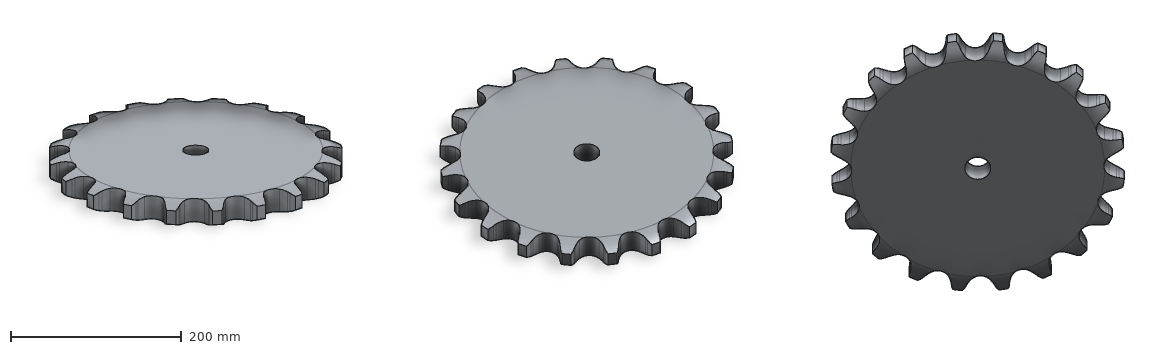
import cadquery as cq
import math

TOOTH_COUNT = 20
PITCH_DIAMETER = 324.5
ROLLER_DIAMETER = 29.0
OUTER_DIAMETER = 345.2
THICKNESS = 29.5
BORE_DIAMETER = 30.0
FLAT_FACE_DIAMETER = 297.3
SEAT_CLEARANCE = 0.07
CUTTER_OVERHANG = 3.5

WORKING_CENTER_RATIO = 0.8
TIP_CENTER_RATIO = 1.4
seat_end_angle = math.radians(35 + 60 / TOOTH_COUNT)
working_sweep = math.radians(18 - 56 / TOOTH_COUNT)
flank_line_angle = math.radians(17 - 64 / TOOTH_COUNT)

pitch_radius = PITCH_DIAMETER / 2
outer_radius = OUTER_DIAMETER / 2
half_tooth_angle = math.pi / TOOTH_COUNT
chain_pitch = PITCH_DIAMETER * math.sin(half_tooth_angle)
seat_radius = (1.005 * ROLLER_DIAMETER + SEAT_CLEARANCE) / 2
working_center_distance = WORKING_CENTER_RATIO * ROLLER_DIAMETER
working_radius = working_center_distance + seat_radius
tip_center_distance = TIP_CENTER_RATIO * ROLLER_DIAMETER
flank_line_length = (
    tip_center_distance * math.sin(flank_line_angle)
    - working_center_distance * math.sin(working_sweep)
)


def polar(center, radius, angle):
    """Point at the given radius and angle from a center."""
    return (center[0] + radius * math.cos(angle), center[1] + radius * math.sin(angle))


def mirrored(point):
    """Point on the other side of the Y axis."""
    return (-point[0], point[1])


def make_blank():
    """Disc with a rim whose sides curve inwards, tangent to the flat faces."""
    face_radius = FLAT_FACE_DIAMETER / 2
    half_thickness = THICKNESS / 2

    def side_height(radius):
        """Height of the rounded side, an arc with the chain pitch as its radius."""
        reach = radius - face_radius
        return half_thickness - chain_pitch + math.sqrt(chain_pitch**2 - reach**2)

    middle_radius = (face_radius + outer_radius) / 2
    middle_height = side_height(middle_radius)
    tip_height = side_height(outer_radius)
    return (
        cq.Workplane("XZ")
        .moveTo(0, -half_thickness)
        .lineTo(face_radius, -half_thickness)
        .threePointArc((middle_radius, -middle_height), (outer_radius, -tip_height))
        .lineTo(outer_radius, tip_height)
        .threePointArc((middle_radius, middle_height), (face_radius, half_thickness))
        .lineTo(0, half_thickness)
        .close()
        .revolve(360, (0, 0, 0), (0, 1, 0))
    )


def make_tooth_gap():
    """Cutter for the gap centered on +Y: seat, working curves, short flats and tip curves."""
    seat_center = (0, pitch_radius)
    seat_bottom = (0, pitch_radius - seat_radius)
    seat_end = polar(seat_center, seat_radius, -seat_end_angle)

    working_center = polar(seat_center, working_center_distance, math.pi - seat_end_angle)
    working_end_angle = working_sweep - seat_end_angle
    working_middle = polar(working_center, working_radius, working_sweep / 2 - seat_end_angle)
    working_end = polar(working_center, working_radius, working_end_angle)

    line_end = polar(working_end, flank_line_length, working_end_angle + math.pi / 2)
    tip_center = polar(seat_center, tip_center_distance, -half_tooth_angle)
    tip_radius = math.dist(tip_center, line_end)
    tip_start_angle = math.atan2(line_end[1] - tip_center[1], line_end[0] - tip_center[0])

    axis_distance = math.hypot(*tip_center)
    cosine = (axis_distance**2 + tip_radius**2 - outer_radius**2) / (2 * axis_distance * tip_radius)
    angle_from_axis = math.atan2(tip_center[1], tip_center[0])
    tip_end_angle = angle_from_axis + math.pi - math.acos(cosine)
    tip_end = polar(tip_center, tip_radius, tip_end_angle)
    tip_middle = polar(tip_center, tip_radius, (tip_start_angle + tip_end_angle) / 2)

    cutter_top = outer_radius + CUTTER_OVERHANG
    return (
        cq.Workplane("XY")
        .moveTo(*mirrored(seat_end))
        .threePointArc(seat_bottom, seat_end)
        .threePointArc(working_middle, working_end)
        .lineTo(*line_end)
        .threePointArc(tip_middle, tip_end)
        .lineTo(tip_end[0], cutter_top)
        .lineTo(-tip_end[0], cutter_top)
        .lineTo(*mirrored(tip_end))
        .threePointArc(mirrored(tip_middle), mirrored(line_end))
        .lineTo(*mirrored(working_end))
        .threePointArc(mirrored(working_middle), mirrored(seat_end))
        .close()
        .extrude(THICKNESS / 2 + CUTTER_OVERHANG, both=True)
    )


result = make_blank()
tooth_gap = make_tooth_gap()
for index in range(TOOTH_COUNT):
    result = result.cut(tooth_gap.rotate((0, 0, 0), (0, 0, 1), index * 360 / TOOTH_COUNT))
result = result.faces(">Z").workplane(origin=(0, 0, 0)).hole(BORE_DIAMETER)